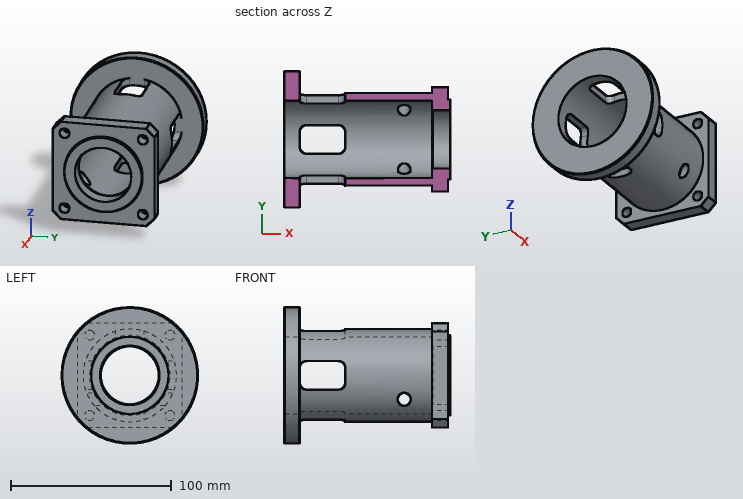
import cadquery as cq

total_length = 103.5
flange_diameter = 85.0
flange_thickness = 9.8
flange_chamfer = 0.5
tube_diameter = 58.0

plate_side = 65.0
plate_thickness = 10.0
plate_corner_chamfer = 5.3
spigot_diameter = 50.0
spigot_height = 1.5
spigot_chamfer = 0.4
plate_end = total_length - spigot_height
plate_start = plate_end - plate_thickness
bolt_hole_diameter = 6.2
bolt_spacing = 50.0

main_bore_diameter = 48.0
end_bore_diameter = 36.0
end_bore_chamfer = 0.5

window_start = flange_thickness
window_end = 38.0
window_width = 17.6
window_corner_radius = 4.0
cross_hole_diameter = 8.0
cross_hole_x = 74.7
cross_hole_z = -14.9


def cylinder(start, end, diameter):
    """Solid cylinder on the part axis between two X positions."""
    return cq.Workplane("YZ", origin=(start, 0, 0)).circle(diameter / 2).extrude(end - start)


def make_flange():
    return cylinder(0, flange_thickness, flange_diameter).edges().chamfer(flange_chamfer)


def make_end_plate():
    plate = (
        cq.Workplane("YZ", origin=(plate_start, 0, 0))
        .rect(plate_side, plate_side)
        .extrude(plate_thickness)
        .edges("|X")
        .chamfer(plate_corner_chamfer)
    )
    bolt_holes = (
        cq.Workplane("YZ", origin=(plate_start, 0, 0))
        .rect(bolt_spacing, bolt_spacing, forConstruction=True)
        .vertices()
        .circle(bolt_hole_diameter / 2)
        .extrude(plate_thickness)
    )
    spigot = cylinder(plate_end, total_length, spigot_diameter).faces(">X").edges().chamfer(spigot_chamfer)
    return plate.cut(bolt_holes).union(spigot)


def make_bore():
    """Wide bore up to the plate, then a narrow bore with a chamfered entry."""
    main_bore = cylinder(0, plate_start, main_bore_diameter)
    end_bore = cylinder(plate_start, total_length, end_bore_diameter)
    entry_radius = end_bore_diameter / 2 + end_bore_chamfer
    entry = cq.Workplane(
        cq.Solid.makeCone(
            entry_radius,
            end_bore_diameter / 2,
            end_bore_chamfer,
            pnt=cq.Vector(plate_start, 0, 0),
            dir=cq.Vector(1, 0, 0),
        )
    )
    return main_bore.union(end_bore).union(entry)


def make_window_cutter(plane):
    """Rounded bar that opens two opposite windows."""
    return (
        cq.Workplane(plane)
        .center((window_start + window_end) / 2, 0)
        .rect(window_end - window_start, window_width)
        .extrude(tube_diameter / 2, both=True)
        .edges("|Y" if plane == "XZ" else "|Z")
        .fillet(window_corner_radius)
    )


def make_cross_hole():
    return (
        cq.Workplane("XZ")
        .center(cross_hole_x, cross_hole_z)
        .circle(cross_hole_diameter / 2)
        .extrude(tube_diameter / 2, both=True)
    )


result = cylinder(0, plate_start, tube_diameter).union(make_flange()).union(make_end_plate())
result = result.cut(make_bore())
for window_plane in ("XY", "XZ"):
    result = result.cut(make_window_cutter(window_plane))
result = result.cut(make_cross_hole())